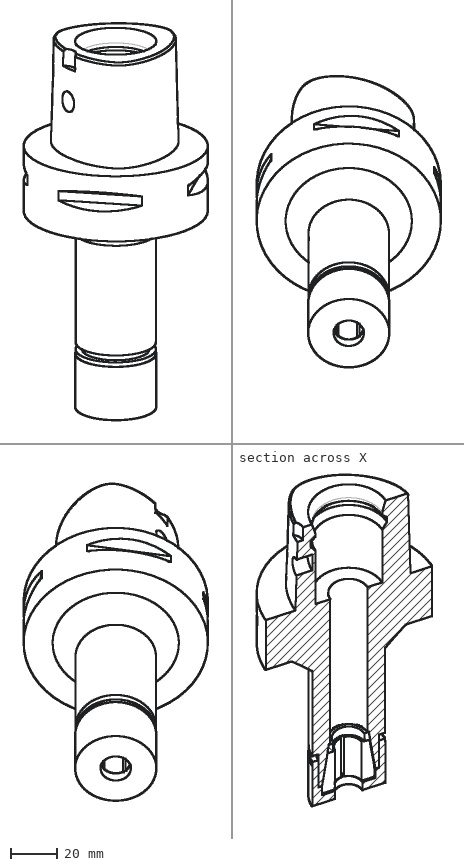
import cadquery as cq
import math

top_z = 168.0
shank_length = 48.0
flange_radius = 40.0
flange_height = 29.9
neck_radius = 17.5
neck_cone_height = 9.9
neck_bottom_z = 29.7
thread_radius = 14.6
thread_bottom_z = 10.0

shank_mean_radius = 27.7
lobe_height = 2.0
shank_taper = 1 / 40
shank_chamfer_height = 1.2
shank_chamfer_width = 0.8
outline_points = 24

mouth_radius = 17.6
bore_radius = 16.0
mouth_depth = 6.4
land_end_depth = 8.2
clamp_groove_depth = 2.4
clamp_groove_width = 8.4
clamp_groove_lower_flank = 3.7
bore_depth = shank_length
through_bore_radius = 8.9

notch_radius = 5.5
notch_floor_y = -22.0
notch_height = 7.7
side_hole_radius = 4.5
side_hole_depth_below_top = 22.8
side_hole_floor_y = -17.6

grip_floor_distance = 35.5
grip_floor_width = 4.2
grip_mouth_width = 8.7
grip_depth_below_flange_top = 12.0
grip_count = 4
grip_first_angle = 45.0

collet_radius = 12.8
collet_taper_angle = 8.0
collet_top_z = 33.6
collet_bottom_z = 5.0
collet_bore_radius = 6.4
collet_recess_radius = 7.4
collet_recess_depth = 5.0
slit_width = 1.3
slit_count = 4

nut_top_z = 26.5
nut_radius = 17.6
nut_collar_radius = 17.5
nut_collar_height = 2.0
nut_mouth_radius = 6.5

flange_top_z = top_z - shank_length
flange_bottom_z = flange_top_z - flange_height
neck_cone_bottom_z = flange_bottom_z - neck_cone_height
neck_cone_top_radius = neck_radius + neck_cone_height
shank_chamfer_z = top_z - shank_chamfer_height
collet_top_radius = collet_radius - (
    (collet_top_z - thread_bottom_z) * math.tan(math.radians(collet_taper_angle))
)


def revolve_profile(points):
    """Solid of revolution about Z from (radius, z) points."""
    return cq.Workplane("XZ").polyline(points).close().revolve(360, (0, 0), (0, 1))


def cylinder(radius, bottom_z, upper_z):
    return cq.Workplane("XY").workplane(offset=bottom_z).circle(radius).extrude(upper_z - bottom_z)


def shank_outline(mean_radius, z):
    """Closed constant-width outline with three lobes, traced from the -Y side."""

    def point(i):
        angle = 2 * math.pi * i / outline_points
        reach = mean_radius - lobe_height * math.cos(3 * angle)
        slope = 3 * lobe_height * math.sin(3 * angle)
        x = reach * math.sin(angle) + slope * math.cos(angle)
        y = -reach * math.cos(angle) + slope * math.sin(angle)
        return cq.Vector(x, y, z)

    points = [point(i) for i in range(outline_points)]
    return cq.Wire.assembleEdges([cq.Edge.makeSpline(points, periodic=True)])


def make_shank():
    """Tapered shank with a chamfered tip; every level is an inward offset of the base."""
    radius_at_chamfer = shank_mean_radius - shank_taper * (shank_chamfer_z - flange_top_z)
    base = shank_outline(shank_mean_radius, flange_top_z)
    shoulder = shank_outline(radius_at_chamfer, shank_chamfer_z)
    tip = shank_outline(radius_at_chamfer - shank_chamfer_width, top_z)
    taper = cq.Workplane(obj=cq.Solid.makeLoft([base, shoulder], True))
    chamfer = cq.Workplane(obj=cq.Solid.makeLoft([shoulder, tip], True))
    return taper.union(chamfer)


def make_flange_and_neck():
    return revolve_profile([
        (0, flange_top_z),
        (flange_radius, flange_top_z),
        (flange_radius, flange_bottom_z),
        (neck_cone_top_radius, flange_bottom_z),
        (neck_radius, neck_cone_bottom_z),
        (neck_radius, neck_bottom_z),
        (thread_radius, neck_bottom_z),
        (thread_radius, thread_bottom_z),
        (0, thread_bottom_z),
    ])


def holder_bore():
    """Shank bore with its clamping groove, the through bore and the collet seat."""
    groove_top_z = top_z - land_end_depth
    groove_bottom_z = groove_top_z - clamp_groove_width
    groove_radius = bore_radius + clamp_groove_depth
    floor_z = top_z - bore_depth
    return revolve_profile([
        (0, top_z),
        (mouth_radius, top_z),
        (bore_radius, top_z - mouth_depth),
        (bore_radius, groove_top_z),
        (groove_radius, groove_top_z - clamp_groove_depth),
        (groove_radius, groove_bottom_z + clamp_groove_lower_flank),
        (bore_radius, groove_bottom_z),
        (bore_radius, floor_z),
        (through_bore_radius, floor_z),
        (through_bore_radius, collet_top_z),
        (collet_top_radius, collet_top_z),
        (collet_radius, thread_bottom_z),
        (0, thread_bottom_z),
    ])


def grip_groove(angle):
    """Straight groove with sloping flanks across the flange rim, facing the given direction."""
    middle_z = flange_top_z - grip_depth_below_flange_top
    half_floor = grip_floor_width / 2
    half_mouth = grip_mouth_width / 2
    return (
        cq.Workplane("XZ")
        .polyline([
            (grip_floor_distance, middle_z - half_floor),
            (flange_radius, middle_z - half_mouth),
            (flange_radius, middle_z + half_mouth),
            (grip_floor_distance, middle_z + half_floor),
        ])
        .close()
        .extrude(flange_radius, both=True)
        .rotate((0, 0, 0), (0, 0, 1), angle)
    )


def orientation_notch():
    axis_y = notch_floor_y - notch_radius
    return cylinder(notch_radius, top_z - notch_height, top_z).translate((0, axis_y, 0))


def side_hole():
    return (
        cq.Workplane("XZ", origin=(0, side_hole_floor_y, top_z - side_hole_depth_below_top))
        .circle(side_hole_radius)
        .extrude(shank_mean_radius)
    )


def make_holder():
    holder = make_flange_and_neck().union(make_shank())
    holder = holder.cut(holder_bore()).cut(orientation_notch()).cut(side_hole())
    for i in range(grip_count):
        holder = holder.cut(grip_groove(grip_first_angle + i * 360 / grip_count))
    return holder


def make_collet():
    """Tapered sleeve with a recess in its top and slits running up to the recess floor."""
    recess_floor_z = collet_top_z - collet_recess_depth
    collet = revolve_profile([
        (collet_bore_radius, collet_bottom_z),
        (collet_radius, collet_bottom_z),
        (collet_radius, thread_bottom_z),
        (collet_top_radius, collet_top_z),
        (collet_recess_radius, collet_top_z),
        (collet_recess_radius, recess_floor_z),
        (collet_bore_radius, recess_floor_z),
    ])
    slit = cq.Workplane("XY").box(
        collet_radius, slit_width, recess_floor_z - collet_bottom_z, centered=(False, True, False)
    ).translate((0, 0, collet_bottom_z))
    for i in range(slit_count):
        collet = collet.cut(slit.rotate((0, 0, 0), (0, 0, 1), i * 360 / slit_count))
    return collet


def make_nut():
    """Cup around the thread and the collet, with a slightly smaller collar at its top."""
    collar_bottom_z = nut_top_z - nut_collar_height
    return revolve_profile([
        (nut_mouth_radius, 0),
        (nut_radius, 0),
        (nut_radius, collar_bottom_z),
        (nut_collar_radius, collar_bottom_z),
        (nut_collar_radius, nut_top_z),
        (thread_radius, nut_top_z),
        (thread_radius, thread_bottom_z),
        (collet_radius, thread_bottom_z),
        (collet_radius, collet_bottom_z),
        (nut_mouth_radius, collet_bottom_z),
    ])


holder = make_holder()
collet = make_collet()
nut = make_nut()

result = cq.Compound.makeCompound([holder.val(), collet.val(), nut.val()])